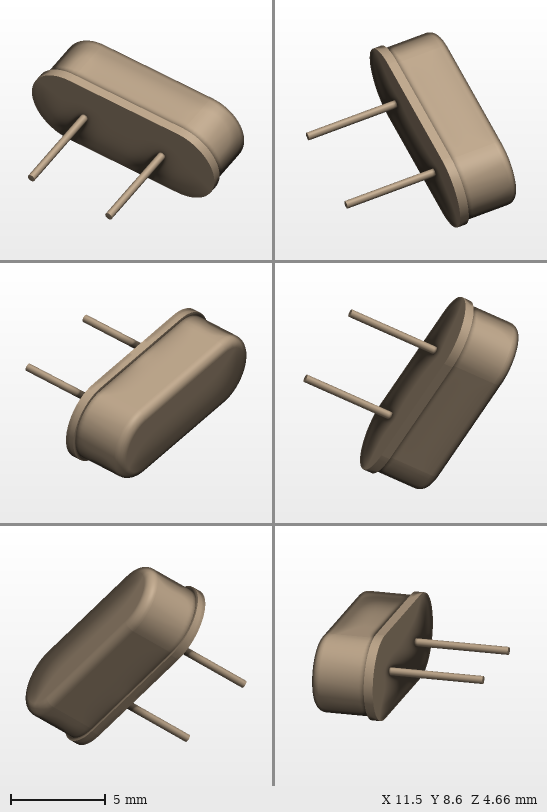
import cadquery as cq

flange_length = 11.5
flange_width = 4.66
flange_thickness = 0.5

can_inset = 0.2
can_length = flange_length - 2 * can_inset
can_width = flange_width - 2 * can_inset
body_depth = 3.5
can_depth = body_depth - flange_thickness
can_edge_radius = 0.5

overall_depth = 8.6
pin_length = overall_depth - body_depth
pin_diameter = 0.43
pin_spacing = 4.88



def make_flange():
    return cq.Workplane("XZ").slot2D(flange_length, flange_width).extrude(-flange_thickness)


def make_can():
    can = (
        cq.Workplane("XZ", origin=(0, flange_thickness, 0))
        .slot2D(can_length, can_width)
        .extrude(-can_depth)
    )
    return can.faces(">Y").edges().fillet(can_edge_radius)


def make_pins():
    return (
        cq.Workplane("XZ", origin=(0, flange_thickness, 0))
        .pushPoints([(-pin_spacing / 2, 0), (pin_spacing / 2, 0)])
        .circle(pin_diameter / 2)
        .extrude(flange_thickness + pin_length)
    )


result = make_flange().union(make_can()).union(make_pins())